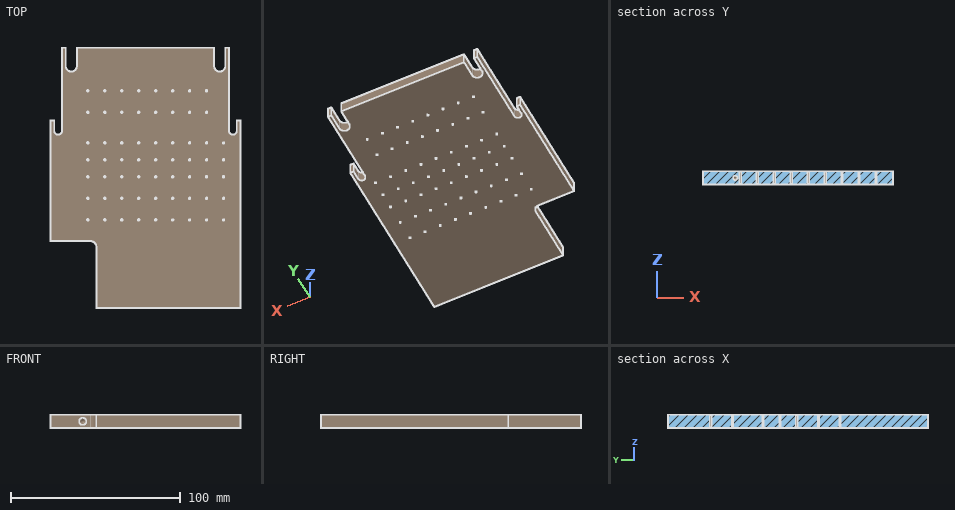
import cadquery as cq
import math

width = 112.0
length = 153.47
thickness = 8.0
left_edge = -width / 2
right_edge = width / 2

shoulder_height = 110.6
shoulder_inset = 6.75

cutout_width = 27.0
cutout_height = 39.47
cutout_fillet = 3.5

end_slot_width = 6.5
end_slot_depth = 14.0
end_slot_spacing = 87.5
side_slot_width = 4.5
side_slot_depth = 8.3

small_hole_diameter = 0.75
column_pitch = 10.0
first_column_x = left_edge + 22.0
full_row_columns = 9
short_row_columns = 8
row_pitch = 12.7
close_row_pitch = 10.0
row_group_gap = 18.0
first_row_height = 52.0
third_row_height = first_row_height + 2 * row_pitch
full_row_heights = [
    first_row_height,
    first_row_height + row_pitch,
    third_row_height,
    third_row_height + close_row_pitch,
    third_row_height + 2 * close_row_pitch,
]
first_short_row_height = full_row_heights[-1] + row_group_gap
short_row_heights = [first_short_row_height, first_short_row_height + row_pitch]

port_diameter = 4.2
port_depth = 12.0
port_x = left_edge + 19.0
port_tip_angle = 118.0


def make_plate():
    upper_left = left_edge + shoulder_inset
    upper_right = right_edge - shoulder_inset
    cutout_edge = left_edge + cutout_width
    outline = [
        (cutout_edge, 0),
        (right_edge, 0),
        (right_edge, shoulder_height),
        (upper_right, shoulder_height),
        (upper_right, length),
        (upper_left, length),
        (upper_left, shoulder_height),
        (left_edge, shoulder_height),
        (left_edge, cutout_height),
        (cutout_edge, cutout_height),
    ]
    plate = cq.Workplane("XY").polyline(outline).close().extrude(thickness)
    inner_corner = cq.selectors.NearestToPointSelector((cutout_edge, cutout_height, thickness / 2))
    return plate.edges("|Z").edges(inner_corner).fillet(cutout_fillet)


def make_slot(center_x, open_height, slot_width, depth):
    """Round-ended slot cutter reaching down by depth from its open end."""
    radius = slot_width / 2
    arc_height = open_height - depth + radius
    return (
        cq.Workplane("XY")
        .moveTo(center_x - radius, open_height)
        .lineTo(center_x - radius, arc_height)
        .threePointArc((center_x, arc_height - radius), (center_x + radius, arc_height))
        .lineTo(center_x + radius, open_height)
        .close()
        .extrude(thickness)
    )


def cut_slots(plate):
    end_slot_x = end_slot_spacing / 2
    side_slot_x = right_edge - shoulder_inset + side_slot_width / 2
    for side in (-1, 1):
        plate = plate.cut(make_slot(side * end_slot_x, length, end_slot_width, end_slot_depth))
        plate = plate.cut(make_slot(side * side_slot_x, shoulder_height, side_slot_width, side_slot_depth))
    return plate


def row_points(row_height, column_count):
    return [(first_column_x + i * column_pitch, row_height) for i in range(column_count)]


def cut_small_holes(plate):
    points = []
    for row_height in full_row_heights:
        points += row_points(row_height, full_row_columns)
    for row_height in short_row_heights:
        points += row_points(row_height, short_row_columns)
    holes = (
        cq.Workplane("XY")
        .pushPoints(points)
        .circle(small_hole_diameter / 2)
        .extrude(thickness)
    )
    return plate.cut(holes)


def cut_port(plate):
    """Drill toward +Y at mid-thickness, with a conical bottom."""
    radius = port_diameter / 2
    tip_length = radius / math.tan(math.radians(port_tip_angle / 2))
    profile = [
        (port_x, cutout_height),
        (port_x + radius, cutout_height),
        (port_x + radius, cutout_height + port_depth),
        (port_x, cutout_height + port_depth + tip_length),
    ]
    drill = (
        cq.Workplane("XY", origin=(0, 0, thickness / 2))
        .polyline(profile)
        .close()
        .revolve(360, (port_x, cutout_height), (port_x, cutout_height + port_depth))
    )
    return plate.cut(drill)


result = cut_port(cut_small_holes(cut_slots(make_plate())))